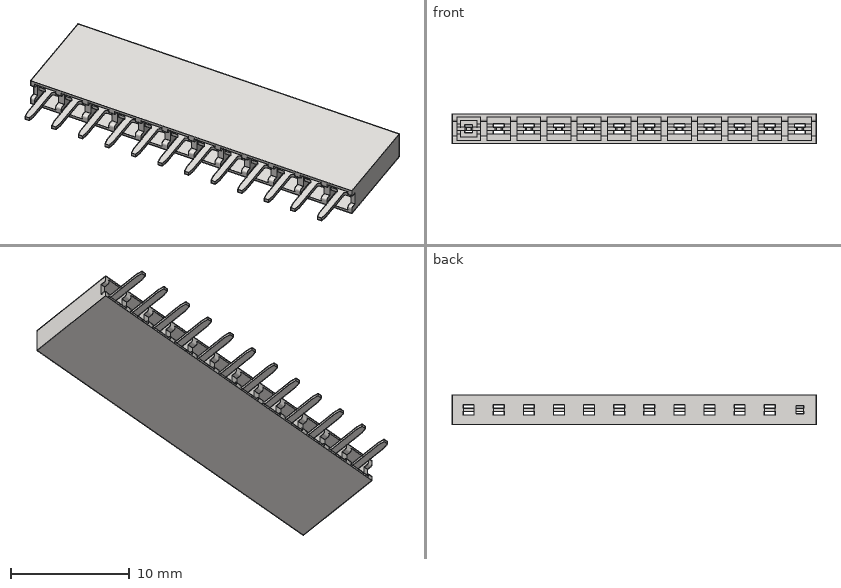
import cadquery as cq
import math

PIN_COUNT = 12
PITCH = 2.54
LENGTH = 30.73
HEIGHT = 2.5
DEPTH = 8.5

GROOVE_HEIGHT = 1.2
GROOVE_DEPTH = 0.55
GROOVE_EDGE_RADIUS = 0.2

CHAMBER_SIZE = 2.0
CHAMBER_DEPTH = 2.0
SLOT_HEIGHT = 0.84
SLOT_DEPTH = 3.0
PASSAGE_WIDTH = 0.9

WELL_SIZE = 1.4
WELL_DEPTH = 4.0
FIRST_PASSAGE_SIZE = 0.64

CONTACT_THICKNESS = 0.3
SHOULDER_SETBACK = 0.75
SHOULDER_LENGTH = 2.0
SHOULDER_FILLET = 0.2
PIN_WIDTH = 0.6
PIN_LENGTH = 3.2
TIP_WIDTH = 0.4
TAPER_LENGTH = 0.6

PIN_POSITIONS = [(i - (PIN_COUNT - 1) / 2) * PITCH for i in range(PIN_COUNT)]


def block(width, height, y_start, y_end, x=0):
    """Box centred on the given X and on Z = 0, from y_start to y_end."""
    centre = (x, (y_start + y_end) / 2, 0)
    return cq.Workplane("XY").box(width, y_end - y_start, height).translate(centre)


def make_housing():
    """Plain bar with the groove cut along its pin face and the groove lips rounded."""
    bar = block(LENGTH, HEIGHT, 0, DEPTH)
    groove = block(LENGTH, GROOVE_HEIGHT, 0, GROOVE_DEPTH)
    half_depth = GROOVE_DEPTH / 2
    between_heights = (GROOVE_HEIGHT + HEIGHT) / 4
    lips = cq.selectors.BoxSelector(
        (-LENGTH, -half_depth, -between_heights),
        (LENGTH, half_depth, between_heights),
    )
    return bar.cut(groove).edges("|X").edges(lips).fillet(GROOVE_EDGE_RADIUS)


def make_chamber(x, is_first):
    """Empty space of one contact chamber, running through to the mating face."""
    chamber = block(CHAMBER_SIZE, CHAMBER_SIZE, 0, CHAMBER_DEPTH, x)
    chamber = chamber.union(block(CHAMBER_SIZE, SLOT_HEIGHT, 0, SLOT_DEPTH, x))
    if is_first:
        chamber = chamber.union(block(WELL_SIZE, WELL_SIZE, 0, WELL_DEPTH, x))
        return chamber.union(block(FIRST_PASSAGE_SIZE, FIRST_PASSAGE_SIZE, 0, DEPTH, x))
    return chamber.union(block(PASSAGE_WIDTH, SLOT_HEIGHT, 0, DEPTH, x))


def make_contact(x):
    """Flat contact: shoulder, concave fillets into the pin, and the tapered tip."""
    half_pin = PIN_WIDTH / 2
    half_tip = TIP_WIDTH / 2
    half_shoulder = CHAMBER_SIZE / 2
    shoulder_end = SHOULDER_SETBACK + SHOULDER_LENGTH
    fillet_start = SHOULDER_SETBACK - SHOULDER_FILLET
    fillet_edge = half_pin + SHOULDER_FILLET
    taper_start = TAPER_LENGTH - PIN_LENGTH
    mid_inset = SHOULDER_FILLET * (1 - math.cos(math.pi / 4))
    mid_x = half_pin + mid_inset
    mid_y = SHOULDER_SETBACK - mid_inset
    return (
        cq.Workplane("XY", origin=(x, 0, -CONTACT_THICKNESS / 2))
        .moveTo(-half_tip, -PIN_LENGTH)
        .lineTo(half_tip, -PIN_LENGTH)
        .lineTo(half_pin, taper_start)
        .lineTo(half_pin, fillet_start)
        .threePointArc((mid_x, mid_y), (fillet_edge, SHOULDER_SETBACK))
        .lineTo(half_shoulder, SHOULDER_SETBACK)
        .lineTo(half_shoulder, shoulder_end)
        .lineTo(-half_shoulder, shoulder_end)
        .lineTo(-half_shoulder, SHOULDER_SETBACK)
        .lineTo(-fillet_edge, SHOULDER_SETBACK)
        .threePointArc((-mid_x, mid_y), (-half_pin, fillet_start))
        .lineTo(-half_pin, taper_start)
        .close()
        .extrude(CONTACT_THICKNESS)
    )


result = make_housing()
for index, position in enumerate(PIN_POSITIONS):
    result = result.cut(make_chamber(position, index == 0))
    result = result.union(make_contact(position))